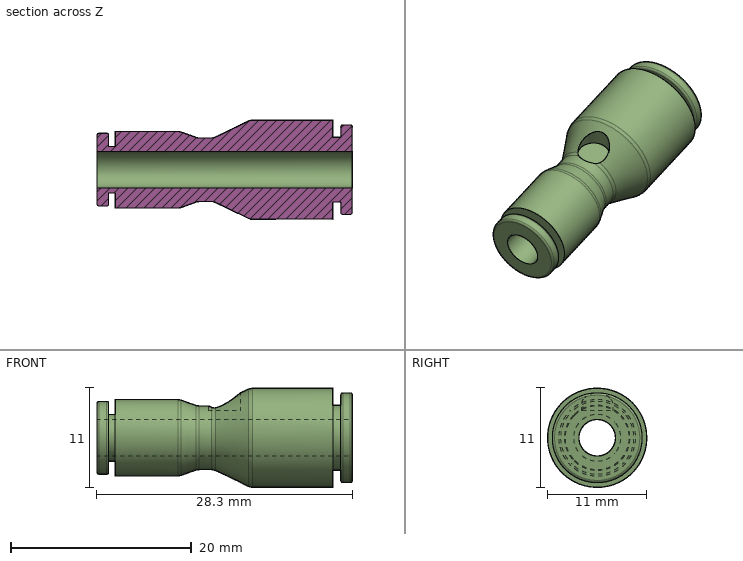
import cadquery as cq

total_length = 28.3
bore_radius = 2.0
collar_length = 1.3

small_collar_radius = 4.05
small_collar_rounding = 0.23
small_neck_end = 2.0
small_neck_radius = 2.6
small_sleeve_radius = 4.25

small_cone_start = 9.17
waist_start = 11.15
waist_end = 12.93
waist_radius = 3.55
large_cone_end = 16.97
blend_radius = 1.0

large_sleeve_diameter = 11.0
large_sleeve_radius = large_sleeve_diameter / 2
large_sleeve_end = 26.1
large_neck_radius = 3.62
large_collar_start = total_length - collar_length
large_collar_radius = 4.98
large_collar_rounding = 0.25

recess_center = 14.12
recess_radius = 1.75
recess_floor = 3.0


def cylinder(start, end, radius):
    """Cylinder along X between two stations."""
    return cq.Workplane("YZ", origin=(start, 0, 0)).circle(radius).extrude(end - start)


def collar(start, radius, rounding):
    """Release collar with both rims rounded."""
    return cylinder(start, start + collar_length, radius).edges().fillet(rounding)


def body():
    """Two sleeves joined by cones and a waist, with the four corners blended."""
    corners = [
        (small_cone_start, small_sleeve_radius),
        (waist_start, waist_radius),
        (waist_end, waist_radius),
        (large_cone_end, large_sleeve_radius),
    ]
    profile = (
        cq.Workplane("XY")
        .moveTo(small_neck_end, 0)
        .lineTo(small_neck_end, small_sleeve_radius)
    )
    for corner in corners:
        profile = profile.lineTo(*corner)
    revolved = (
        profile.lineTo(large_sleeve_end, large_sleeve_radius)
        .lineTo(large_sleeve_end, 0)
        .close()
        .revolve(360, (0, 0, 0), (1, 0, 0))
    )
    corner_edges = revolved.edges("%CIRCLE").edges("not(<X or >X)")
    return corner_edges.fillet(blend_radius)


def recess():
    """Vertical cutter for the round recess on the +Z side."""
    return (
        cq.Workplane("XY", origin=(recess_center, 0, recess_floor))
        .circle(recess_radius)
        .extrude(large_sleeve_radius - recess_floor)
    )


small_collar = collar(0, small_collar_radius, small_collar_rounding)
small_neck = cylinder(collar_length, small_neck_end, small_neck_radius)
large_neck = cylinder(large_sleeve_end, large_collar_start, large_neck_radius)
large_collar = collar(large_collar_start, large_collar_radius, large_collar_rounding)

result = (
    body()
    .cut(recess())
    .union(small_neck)
    .union(small_collar)
    .union(large_neck)
    .union(large_collar)
    .cut(cylinder(0, total_length, bore_radius))
)